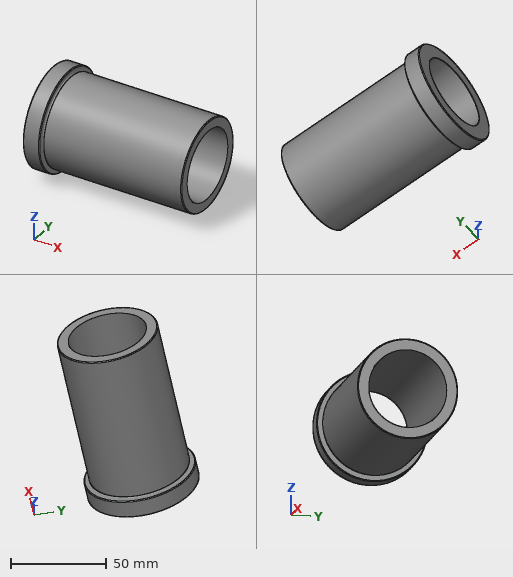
import cadquery as cq

total_length = 95.0
bore_diameter = 42.0
bore_chamfer = 0.2
barrel_diameter = 54.0
flange_diameter = 60.0
flange_thickness = 10.0
flange_chamfer = 0.5
relief_radius = 0.5
lead_length = 4.0
lead_taper = 0.002
end_chamfer = 0.5

flange_face = 0.0
flange_back = flange_face + flange_thickness
relief_center = flange_back + relief_radius
barrel_start = relief_center + relief_radius
end_face = flange_face + total_length
lead_start = end_face - lead_length

bore_radius = bore_diameter / 2
barrel_radius = barrel_diameter / 2
flange_radius = flange_diameter / 2
relief_bottom_radius = barrel_radius - relief_radius
lead_end_radius = barrel_radius - lead_taper


def make_bush():
    """Revolve the half section of the flanged bush around the X axis."""
    half_section = (
        cq.Workplane("XY")
        .moveTo(flange_face + bore_chamfer, bore_radius)
        .lineTo(flange_face, bore_radius + bore_chamfer)
        .lineTo(flange_face, flange_radius - flange_chamfer)
        .lineTo(flange_face + flange_chamfer, flange_radius)
        .lineTo(flange_back - flange_chamfer, flange_radius)
        .lineTo(flange_back, flange_radius - flange_chamfer)
        .lineTo(flange_back, barrel_radius)
        .threePointArc((relief_center, relief_bottom_radius), (barrel_start, barrel_radius))
        .lineTo(lead_start, barrel_radius)
        .lineTo(end_face - end_chamfer, lead_end_radius)
        .lineTo(end_face, lead_end_radius - end_chamfer)
        .lineTo(end_face, bore_radius)
        .close()
    )
    axis_start = (0, 0, 0)
    axis_end = (1, 0, 0)
    return half_section.revolve(360, axis_start, axis_end)


result = make_bush()